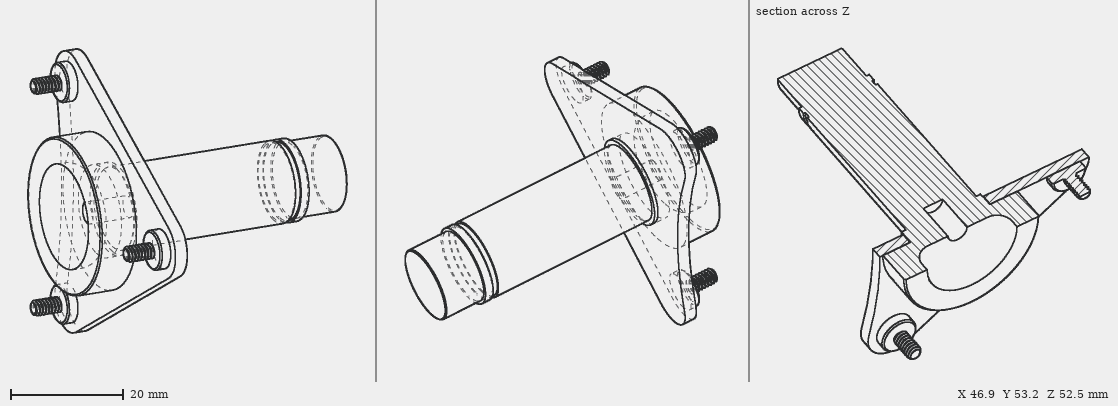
import math

import cadquery as cq


plate_thickness = 2.38
screw_circle_radius = 24.0
screw_angles = (0, 120, 240)
corner_radius = 5.453
side_normal_angle = screw_angles[1] / 2
waist_radius = 80.0

boss_diameter = 28.6
boss_height = 7.14
boss_chamfer = 0.3
neck_diameter = 16.8
neck_projection = 0.7
tube_diameter = 15.0
spindle_length = 53.21
groove_diameter = 14.25
groove_width = 1.1
collar_width = 1.6
tail_diameter = 13.8
tail_length = 8.0
tail_chamfer = 0.2
recess_diameter = 19.05
recess_fillet = 3.175
recess_depth = 4.76
bore_diameter = 4.0
bore_depth = 8.0

head_diameter = 7.2
head_height = 2.0
head_chamfer = 0.3
thread_diameter = 2.86
root_diameter = 2.1
thread_pitch = 0.635
crest_width = thread_pitch / 8
root_width = thread_pitch / 8
thread_overcut = 0.1
thread_lead_in = 1.1
thread_runout = 0.8
thread_start_angle = 180
tip_chamfer = 0.38


def ring_point(radius, angle):
    """Point (X, Z) at a radius and an angle in degrees from +X."""
    turn = math.radians(angle)
    return radius * math.cos(turn), radius * math.sin(turn)


screw_centers = [ring_point(screw_circle_radius, angle) for angle in screw_angles]


def make_plate():
    """Three-cornered plate: two straight sides and one concave side at -X."""
    tip_x = screw_circle_radius
    lobe_x, lobe_z = screw_centers[1]

    normal_x, normal_z = ring_point(corner_radius, side_normal_angle)
    side_start = (tip_x + normal_x, normal_z)
    side_end = (lobe_x + normal_x, lobe_z + normal_z)

    center_spacing = waist_radius + corner_radius
    waist_center_x = lobe_x - math.sqrt(center_spacing**2 - lobe_z**2)
    waist_x = waist_center_x + waist_radius
    share = corner_radius / center_spacing
    waist_end = (lobe_x + share * (waist_center_x - lobe_x), lobe_z * (1 - share))
    mid_x, mid_z = ring_point(corner_radius, screw_angles[1])
    lobe_mid = (lobe_x + mid_x, lobe_z + mid_z)

    def mirrored(point):
        return point[0], -point[1]

    outline = (
        cq.Workplane("XZ")
        .moveTo(*side_start)
        .lineTo(*side_end)
        .threePointArc(lobe_mid, waist_end)
        .threePointArc((waist_x, 0), mirrored(waist_end))
        .threePointArc(mirrored(lobe_mid), mirrored(side_end))
        .lineTo(*mirrored(side_start))
        .threePointArc((tip_x + corner_radius, 0), side_start)
        .close()
    )
    plate = outline.extrude(-plate_thickness)
    neck_hole = cq.Workplane("XZ").circle(neck_diameter / 2).extrude(-plate_thickness)
    return plate.cut(neck_hole)


def make_spindle():
    """Turned spindle: boss, neck through the plate, tube, ring groove and tail."""
    front = -boss_height
    back = front + spindle_length
    neck_end = plate_thickness + neck_projection
    tail_start = back - tail_length
    groove_end = tail_start - collar_width
    groove_start = groove_end - groove_width
    recess_floor = front + recess_depth
    bore_end = recess_floor + bore_depth
    boss_r = boss_diameter / 2
    neck_r = neck_diameter / 2
    tube_r = tube_diameter / 2
    groove_r = groove_diameter / 2
    tail_r = tail_diameter / 2
    recess_r = recess_diameter / 2
    bore_r = bore_diameter / 2
    floor_r = recess_r - recess_fillet
    fillet_start = recess_floor - recess_fillet
    diagonal = recess_fillet * math.sqrt(0.5)

    profile = (
        cq.Workplane("XY")
        .moveTo(0, bore_end)
        .lineTo(bore_r, bore_end)
        .lineTo(bore_r, recess_floor)
        .lineTo(floor_r, recess_floor)
        .threePointArc((floor_r + diagonal, fillet_start + diagonal), (recess_r, fillet_start))
        .lineTo(recess_r, front)
        .lineTo(boss_r - boss_chamfer, front)
        .lineTo(boss_r, front + boss_chamfer)
        .lineTo(boss_r, 0)
        .lineTo(neck_r, 0)
        .lineTo(neck_r, neck_end)
        .lineTo(tube_r, neck_end)
        .lineTo(tube_r, groove_start)
        .lineTo(groove_r, groove_start)
        .lineTo(groove_r, groove_end)
        .lineTo(tube_r, groove_end)
        .lineTo(tube_r, tail_start)
        .lineTo(tail_r, tail_start)
        .lineTo(tail_r, back - tail_chamfer)
        .lineTo(tail_r - tail_chamfer, back)
        .lineTo(0, back)
        .close()
    )
    return profile.revolve(360, (0, 0, 0), (0, 1, 0))


def make_screw():
    """Screw along +Z with its head on Z = 0 and a right-hand helical thread."""
    length = boss_height
    root_r = root_diameter / 2
    crest_r = thread_diameter / 2
    head = cq.Workplane("XY").circle(head_diameter / 2).extrude(head_height).faces(">Z").chamfer(head_chamfer)
    blank = cq.Workplane("XY").circle(crest_r).extrude(length).faces(">Z").chamfer(tip_chamfer)

    groove_start = head_height - thread_lead_in
    groove_length = length - groove_start + thread_runout
    outer_r = crest_r + thread_overcut
    flank_slope = (thread_pitch - crest_width - root_width) / 2 / (crest_r - root_r)
    outer_half_width = root_width / 2 + flank_slope * (outer_r - root_r)
    helix = cq.Wire.makeHelix(thread_pitch, groove_length, root_r).translate(cq.Vector(0, 0, groove_start))
    groove = (
        cq.Workplane("XZ")
        .polyline([
            (root_r, groove_start - root_width / 2),
            (outer_r, groove_start - outer_half_width),
            (outer_r, groove_start + outer_half_width),
            (root_r, groove_start + root_width / 2),
        ])
        .close()
        .sweep(cq.Workplane(obj=helix), isFrenet=True)
    )
    shank = blank.cut(groove).rotate((0, 0, 0), (0, 0, 1), thread_start_angle)
    return head.union(shank)


plate = make_plate()
spindle = make_spindle()
screw = make_screw().rotate((0, 0, 0), (1, 0, 0), 90)
screws = [screw.translate((x, 0, z)) for x, z in screw_centers]

result = cq.Compound.makeCompound([plate.val(), spindle.val(), *[copy.solids().val() for copy in screws]])